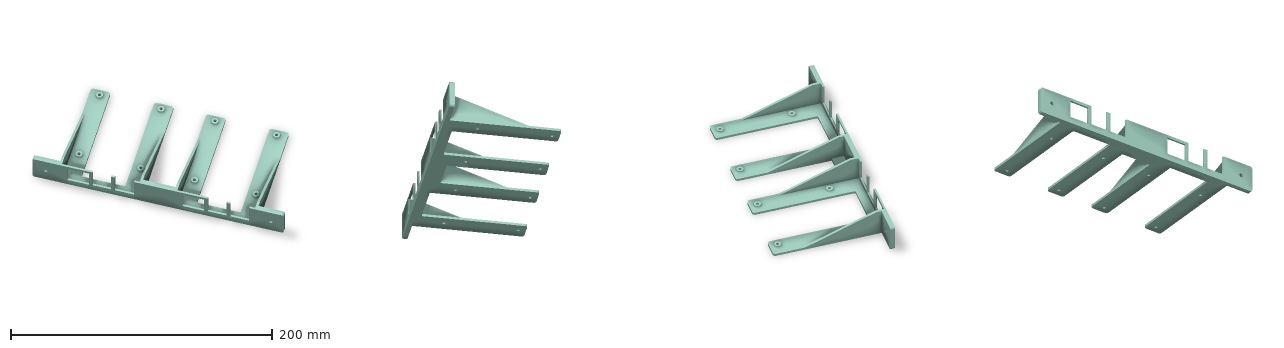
import cadquery as cq
import math

PANEL_LENGTH = 199.8
PANEL_HEIGHT = 22.2
PANEL_THICKNESS = 4.0
PANEL_CORNER_RADIUS = 2.0
THIN_WALL = 1.6
SCREW_HOLE_DIAMETER = 3.3
SCREW_HOLE_INSET = 10.5

BAY_PITCH = 91.7
BAY_WIDTH = 65.8
BAY_DEPTH = 91.1
BAY_CENTERS = (-BAY_PITCH / 2, BAY_PITCH / 2)
FLOOR_THICKNESS = 2.0
ARM_WIDTH = 15.5
ARM_TIP_RADIUS = 2.0
CUTOUT_FRONT = 8.5
CUTOUT_CORNER_RADIUS = 1.0

BRIDGE_DEPTH = 13.9

RIB_THICKNESS = 2.0
RIB_TOP_END = 8.2
RIB_SLOPE_END = 65.7

STANDOFF_SPACING_X = 49.0
STANDOFF_SPACING_Y = 58.0
STANDOFF_FRONT = 27.1
STANDOFF_DIAMETER = 5.5
STANDOFF_HEIGHT = 2.2
STANDOFF_FLARE_RADIUS = 2.0
STANDOFF_HOLE_DIAMETER = 2.4

WINDOW_LEFT = -26.2
WINDOW_WIDTH = 17.0
WINDOW_BOTTOM = 5.4
WINDOW_HEIGHT = 14.4
NOTCH_LEFTS = (-6.2, 11.4)
NOTCH_WIDTHS = (14.6, 15.2)
NOTCH_BOTTOM = 5.9


def box(x, y, z, width, depth, height):
    """Block whose lowest corner is at (x, y, z)."""
    return cq.Workplane("XY").box(width, depth, height, centered=False).translate((x, y, z))


def make_panel():
    panel = box(-PANEL_LENGTH / 2, 0, 0, PANEL_LENGTH, PANEL_THICKNESS, PANEL_HEIGHT)
    panel = panel.edges("|Y").fillet(PANEL_CORNER_RADIUS)
    hole_x = PANEL_LENGTH / 2 - SCREW_HOLE_INSET
    holes = (
        cq.Workplane("XZ")
        .pushPoints([(-hole_x, PANEL_HEIGHT / 2), (hole_x, PANEL_HEIGHT / 2)])
        .circle(SCREW_HOLE_DIAMETER / 2)
        .extrude(-PANEL_THICKNESS)
    )
    return panel.cut(holes)


def make_panel_recess(center):
    """Space between the ribs that leaves only a thin wall in front of the board."""
    width = BAY_WIDTH - 2 * RIB_THICKNESS
    depth = PANEL_THICKNESS - THIN_WALL
    return box(center - width / 2, THIN_WALL, FLOOR_THICKNESS, width, depth, PANEL_HEIGHT)


def make_floor(center):
    """U-shaped floor: a strip along the panel and two arms."""
    floor = box(center - BAY_WIDTH / 2, 0, 0, BAY_WIDTH, BAY_DEPTH, FLOOR_THICKNESS)
    gap_width = BAY_WIDTH - 2 * ARM_WIDTH
    gap = box(center - gap_width / 2, CUTOUT_FRONT, 0, gap_width, BAY_DEPTH, FLOOR_THICKNESS)
    gap = gap.edges("|Z and <Y").fillet(CUTOUT_CORNER_RADIUS)
    return floor.cut(gap).edges("|Z and >Y").fillet(ARM_TIP_RADIUS)


def make_rib(left):
    return (
        cq.Workplane("YZ", origin=(left, 0, 0))
        .moveTo(THIN_WALL, 0)
        .lineTo(RIB_SLOPE_END, 0)
        .lineTo(RIB_SLOPE_END, FLOOR_THICKNESS)
        .lineTo(RIB_TOP_END, PANEL_HEIGHT)
        .lineTo(THIN_WALL, PANEL_HEIGHT)
        .close()
        .extrude(RIB_THICKNESS)
    )


def make_standoff():
    """Round post with a concave flare at its foot, standing on the XY plane."""
    radius = STANDOFF_DIAMETER / 2
    flare = STANDOFF_FLARE_RADIUS
    flare_center = (radius + flare, flare)
    arc_offset = flare * math.sqrt(0.5)
    arc_middle = (flare_center[0] - arc_offset, flare_center[1] - arc_offset)
    return (
        cq.Workplane("XZ")
        .lineTo(radius + flare, 0)
        .threePointArc(arc_middle, (radius, flare))
        .lineTo(radius, STANDOFF_HEIGHT)
        .lineTo(0, STANDOFF_HEIGHT)
        .close()
        .revolve(360, (0, 0, 0), (0, 1, 0))
    )


def standoff_places(center):
    return [
        (center + side * STANDOFF_SPACING_X / 2, STANDOFF_FRONT + row * STANDOFF_SPACING_Y)
        for side in (-1, 1)
        for row in (0, 1)
    ]


def make_bay(center):
    bay = make_floor(center)
    bay = bay.union(make_rib(center - BAY_WIDTH / 2))
    bay = bay.union(make_rib(center + BAY_WIDTH / 2 - RIB_THICKNESS))
    standoff = make_standoff()
    for x, y in standoff_places(center):
        bay = bay.union(standoff.translate((x, y, FLOOR_THICKNESS)))
    holes = (
        cq.Workplane("XY")
        .pushPoints(standoff_places(center))
        .circle(STANDOFF_HOLE_DIAMETER / 2)
        .extrude(FLOOR_THICKNESS + STANDOFF_HEIGHT)
    )
    return bay.cut(holes)


def make_bridge():
    width = BAY_PITCH - BAY_WIDTH
    return box(-width / 2, 0, 0, width, BRIDGE_DEPTH, FLOOR_THICKNESS)


def make_openings(center):
    """One closed window and two notches open at the top, through the thin wall."""
    openings = box(
        center + WINDOW_LEFT, 0, WINDOW_BOTTOM, WINDOW_WIDTH, PANEL_THICKNESS, WINDOW_HEIGHT
    )
    for left, width in zip(NOTCH_LEFTS, NOTCH_WIDTHS):
        notch = box(center + left, 0, NOTCH_BOTTOM, width, PANEL_THICKNESS, PANEL_HEIGHT)
        openings = openings.union(notch)
    return openings


result = make_panel().union(make_bridge())
for bay_center in BAY_CENTERS:
    result = result.cut(make_panel_recess(bay_center))
    result = result.union(make_bay(bay_center))
    result = result.cut(make_openings(bay_center))